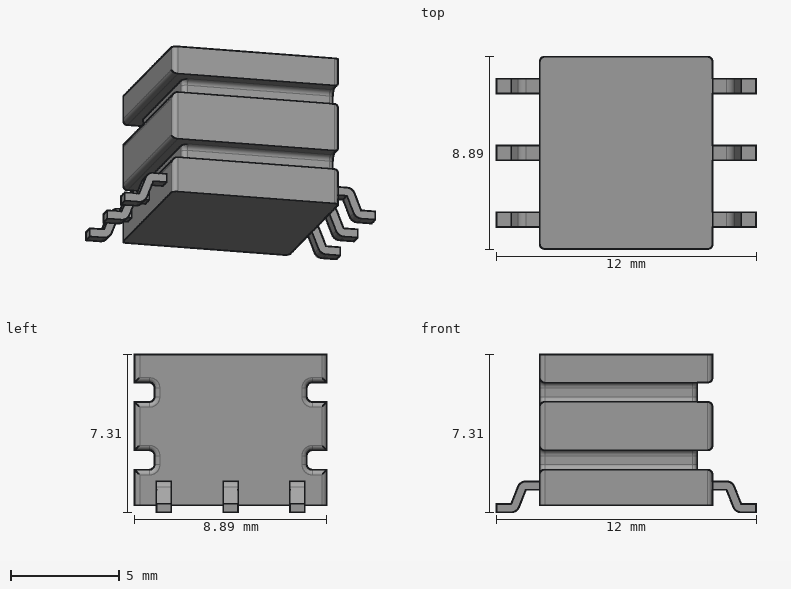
import cadquery as cq
import math

overall_length = 12.0
overall_height = 7.31
body_length = 7.99
body_width = 8.89
standoff = 0.32

bottom_flange_thickness = 1.65
middle_flange_thickness = 2.25
groove_height = 0.89
groove_depth = 0.92
core_setback = 0.71
edge_radius = 0.24

lead_thickness = 0.4
lead_width = 0.7
lead_top = 1.44
lead_pitch = 3.08
leads_per_side = 3
foot_length = 0.68
shoulder_length = 0.64
lead_embed = 0.36

body_end = body_length / 2
side = body_width / 2
core_end = body_end - core_setback
first_groove_z = standoff + bottom_flange_thickness
second_groove_z = first_groove_z + groove_height + middle_flange_thickness
groove_levels = (first_groove_z, second_groove_z)


def block(x_start, x_end, z_bottom, z_top):
    """Box across the full body width."""
    length = x_end - x_start
    return cq.Workplane("XY").box(
        length, body_width, z_top - z_bottom, centered=(False, True, False)
    ).translate((x_start, 0, z_bottom))


def groove_cutter(side_sign, z_bottom):
    """Groove along X in one Y side, with rounded inner corners."""
    return (
        cq.Workplane("XY")
        .box(2 * body_length, 2 * groove_depth, groove_height)
        .edges("|X")
        .fillet(edge_radius)
        .translate((0, side_sign * side, z_bottom + groove_height / 2))
    )


def round_end_edges(solid, end_faces):
    """Round the end outlines, leaving the body top and underside edges sharp."""
    tolerance = 0.001
    lowest = standoff + tolerance
    highest = overall_height - tolerance
    rounded = [edge for edge in end_faces.edges().vals() if lowest < edge.Center().z < highest]
    return solid.newObject(rounded).fillet(edge_radius)


def make_core():
    """Grooved body up to the core's +X end, rounded around both end faces."""
    core = block(-body_end, core_end, standoff, overall_height)
    for z_bottom in groove_levels:
        for side_sign in (-1, 1):
            core = core.cut(groove_cutter(side_sign, z_bottom))
    return round_end_edges(core, core.faces("<X or >X"))


def make_flange(z_bottom, z_top):
    """Flange reaching past the core, rounded around its +X end."""
    flange = block(0, body_end, z_bottom, z_top)
    return round_end_edges(flange, flange.faces(">X"))


def make_lead():
    """One +X lead: sharp inner bends, outer bends concentric with them."""
    tip = overall_length / 2
    root = body_end - lead_embed
    upper_x = body_end + shoulder_length
    upper_z = lead_top - lead_thickness
    lower_x = tip - foot_length
    lower_z = lead_thickness

    run = lower_x - upper_x
    rise = upper_z - lower_z
    slope = math.atan2(rise, run) + math.asin(lead_thickness / math.hypot(run, rise))

    def offset(angle):
        return lead_thickness * math.sin(angle), lead_thickness * math.cos(angle)

    leg_x, leg_z = offset(slope)
    mid_x, mid_z = offset(slope / 2)
    return (
        cq.Workplane("XZ")
        .moveTo(root, upper_z)
        .lineTo(root, lead_top)
        .lineTo(upper_x, lead_top)
        .threePointArc((upper_x + mid_x, upper_z + mid_z), (upper_x + leg_x, upper_z + leg_z))
        .lineTo(lower_x, lower_z)
        .lineTo(tip, lower_z)
        .lineTo(tip, 0)
        .lineTo(lower_x, 0)
        .threePointArc((lower_x - mid_x, lower_z - mid_z), (lower_x - leg_x, lower_z - leg_z))
        .lineTo(upper_x, upper_z)
        .close()
        .extrude(lead_width / 2, both=True)
    )


result = make_core()

flange_bottoms = [standoff] + [z + groove_height for z in groove_levels]
flange_tops = list(groove_levels) + [overall_height]
for z_bottom, z_top in zip(flange_bottoms, flange_tops):
    result = result.union(make_flange(z_bottom, z_top))

right_lead = make_lead()
for index in range(leads_per_side):
    lead_y = (index - (leads_per_side - 1) / 2) * lead_pitch
    lead = right_lead.translate((0, lead_y, 0))
    result = result.union(lead).union(lead.mirror("YZ"))